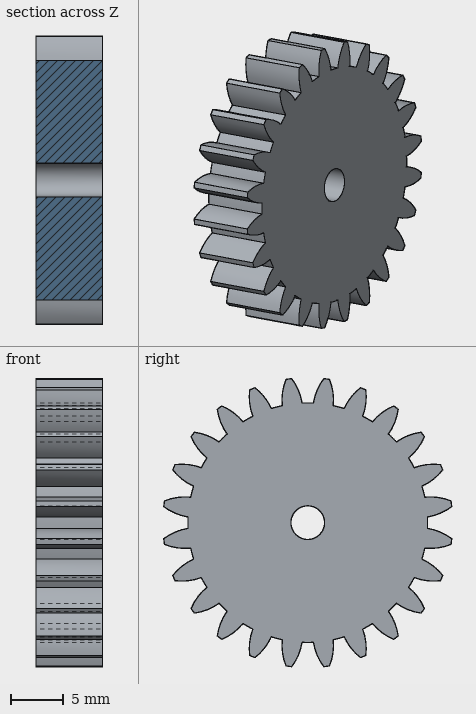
import cadquery as cq
import math

tooth_count = 24
overall_size = 27.35
face_width = 6.35
bore_diameter = 3.17

root_half_thickness = 0.95
pitch_half_thickness = 0.75
tip_half_thickness = 0.27

tooth_pitch_angle = 2 * math.pi / tooth_count
half_pitch_angle = tooth_pitch_angle / 2
tip_corner_height = overall_size / 2
tip_radius = math.hypot(
    tip_corner_height / math.cos(half_pitch_angle) - tip_half_thickness * math.tan(half_pitch_angle),
    tip_half_thickness,
)

module = 2 * tip_radius / (tooth_count + 2)
pitch_radius = module * tooth_count / 2
root_radius = pitch_radius - 1.25 * module


def polar_point(radius, angle):
    return (radius * math.cos(angle), radius * math.sin(angle))


def flank_point(radius, half_thickness, tooth_angle, side):
    """Point on one flank of a tooth; side is -1 before the tooth centre and +1 after it."""
    return polar_point(radius, tooth_angle + side * math.asin(half_thickness / radius))


def add_tooth(outline, tooth_angle):
    """Add the rising flank, tip, falling flank and following root arc of one tooth."""
    next_tooth_angle = tooth_angle + tooth_pitch_angle
    return (
        outline
        .threePointArc(
            flank_point(pitch_radius, pitch_half_thickness, tooth_angle, -1),
            flank_point(tip_radius, tip_half_thickness, tooth_angle, -1),
        )
        .threePointArc(
            polar_point(tip_radius, tooth_angle),
            flank_point(tip_radius, tip_half_thickness, tooth_angle, 1),
        )
        .threePointArc(
            flank_point(pitch_radius, pitch_half_thickness, tooth_angle, 1),
            flank_point(root_radius, root_half_thickness, tooth_angle, 1),
        )
        .threePointArc(
            polar_point(root_radius, tooth_angle + half_pitch_angle),
            flank_point(root_radius, root_half_thickness, next_tooth_angle, -1),
        )
    )


def gear_blank():
    """Toothed disc, centred on the origin along X."""
    first_tooth_angle = half_pitch_angle
    outline = cq.Workplane("YZ").moveTo(
        *flank_point(root_radius, root_half_thickness, first_tooth_angle, -1)
    )
    for index in range(tooth_count):
        outline = add_tooth(outline, first_tooth_angle + index * tooth_pitch_angle)
    return outline.close().extrude(face_width / 2, both=True)


def bore():
    return cq.Workplane("YZ").circle(bore_diameter / 2).extrude(face_width / 2, both=True)


result = gear_blank().cut(bore())